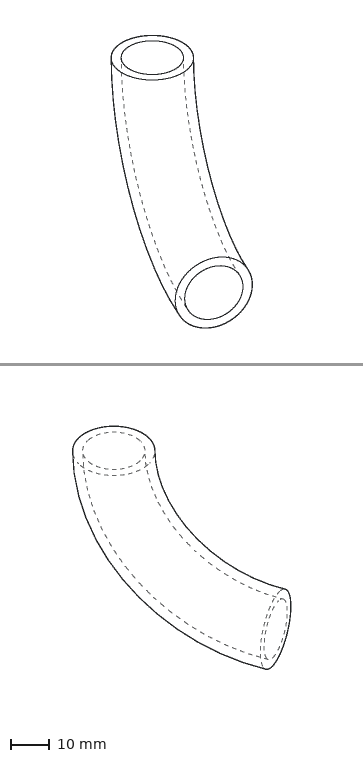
import cadquery as cq

overall_size = 55.65
outer_diameter = 21.3
bore_diameter = 16.1
bend_angle = 90.0

bend_radius = overall_size - outer_diameter / 2

ring = (
    cq.Workplane("XY")
    .center(-bend_radius, 0)
    .circle(outer_diameter / 2)
    .circle(bore_diameter / 2)
)
bend_axis_start = (bend_radius, 0)
bend_axis_end = (bend_radius, -1)
result = ring.revolve(bend_angle, bend_axis_start, bend_axis_end)